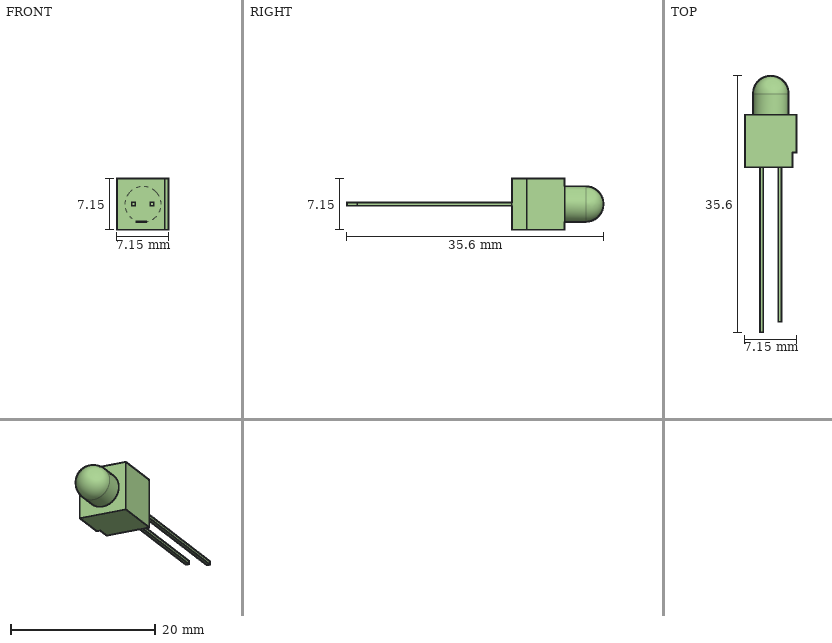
import cadquery as cq

total_length = 35.6

housing_side = 7.15
housing_depth = 7.3

lens_radius = 2.5
lens_straight = 2.92

lead_side = 0.5
lead_pitch = 2.53
short_lead_setback = 1.45

step_width = 0.55
step_depth = 2.03

mark_width = 1.42
mark_height = 0.1
mark_depth = 0.1
mark_x = -0.2
mark_z = -2.45

rear_y = 0.0
front_y = rear_y + housing_depth
dome_y = front_y + lens_straight
tip_y = dome_y + lens_radius
long_lead_y = tip_y - total_length
short_lead_y = long_lead_y + short_lead_setback


def block(width, height, y_start, y_end, x=0.0, z=0.0):
    """Box running along Y, with its section centred on (x, z)."""
    length = y_end - y_start
    return cq.Workplane("XY").box(width, length, height).translate((x, y_start + length / 2, z))


def make_housing():
    """Square block with the stepped rear edge and the sunken mark."""
    body = block(housing_side, housing_side, rear_y, front_y)
    step_x = (housing_side - step_width) / 2
    step = block(step_width, housing_side, rear_y, rear_y + step_depth, x=step_x)
    mark = block(mark_width, mark_height, rear_y, rear_y + mark_depth, x=mark_x, z=mark_z)
    return body.cut(step).cut(mark)


def make_lens():
    """Half profile of the lens in the XY plane, revolved about the Y axis."""
    arc_offset = lens_radius * 0.5 ** 0.5
    return (
        cq.Workplane("XY")
        .moveTo(0, front_y)
        .lineTo(lens_radius, front_y)
        .lineTo(lens_radius, dome_y)
        .threePointArc((arc_offset, dome_y + arc_offset), (0, tip_y))
        .close()
        .revolve(360, (0, 0, 0), (0, 1, 0))
    )


def make_lead(x, end_y):
    """Square lead reaching back from the rear face of the housing."""
    return block(lead_side, lead_side, end_y, rear_y, x=x)


long_lead = make_lead(-lead_pitch / 2, long_lead_y)
short_lead = make_lead(lead_pitch / 2, short_lead_y)

result = make_housing().union(make_lens()).union(long_lead).union(short_lead)